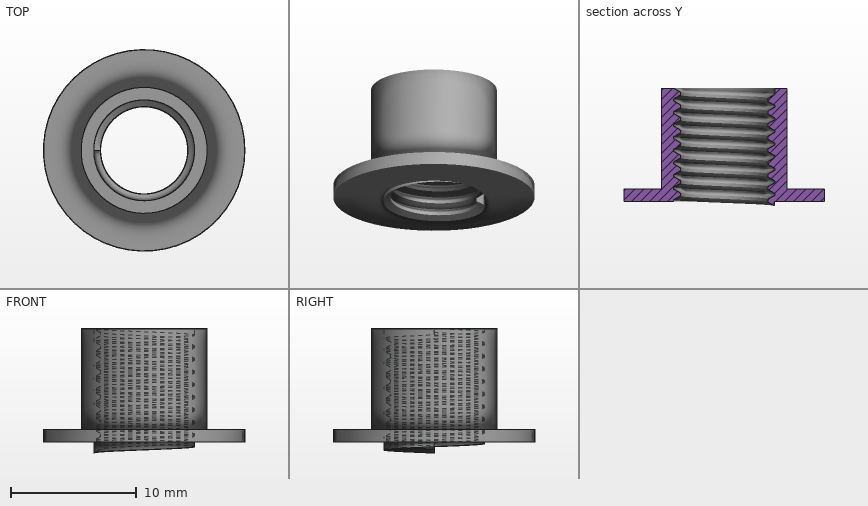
import cadquery as cq

flange_diameter = 16.0
flange_thickness = 1.0
sleeve_diameter = 10.0
sleeve_height = 8.0
total_height = flange_thickness + sleeve_height

thread_diameter = 8.0
thread_pitch = 1.0
thread_radius = thread_diameter / 2
triangle_height = thread_pitch * 3 ** 0.5 / 2
ridge_depth = triangle_height * 5 / 8
root_width = thread_pitch * 7 / 8
crest_width = thread_pitch / 4
crest_radius = thread_radius - ridge_depth
thread_length = total_height
ridge_start = -root_width / 2
wall_overlap = 0.05
flank_slope = (root_width - crest_width) / 2 / ridge_depth
clearance_below_flange = 2 * root_width


def make_body():
    """Flange and sleeve with the plain bore through both."""
    flange = cq.Workplane("XY").circle(flange_diameter / 2).extrude(flange_thickness)
    sleeve = cq.Workplane("XY").circle(sleeve_diameter / 2).extrude(total_height)
    bore = cq.Workplane("XY").circle(thread_radius).extrude(total_height)
    return flange.union(sleeve).cut(bore)


def make_ridge():
    """Right-handed thread ridge that starts and ends on the -X side."""
    sunk_radius = thread_radius + wall_overlap
    half_sunk = root_width / 2 + flank_slope * wall_overlap
    half_crest = crest_width / 2
    helix = cq.Wire.makeHelix(thread_pitch, thread_length, thread_radius)
    ridge = (
        cq.Workplane("XZ")
        .moveTo(sunk_radius, -half_sunk)
        .lineTo(crest_radius, -half_crest)
        .lineTo(crest_radius, half_crest)
        .lineTo(sunk_radius, half_sunk)
        .close()
        .sweep(cq.Workplane(helix), isFrenet=True)
    )
    return ridge.rotate((0, 0, 0), (0, 0, 1), 180).translate((0, 0, ridge_start))


def make_ridge_limits(body):
    """Space the ridge may fill: the body itself and the thread cylinder, which also runs below the flange."""
    thread_cylinder = (
        cq.Workplane("XY")
        .workplane(offset=-clearance_below_flange)
        .circle(thread_radius)
        .extrude(clearance_below_flange + total_height)
    )
    return body.union(thread_cylinder)


body = make_body()
ridge = make_ridge().intersect(make_ridge_limits(body))
result = body.union(ridge)